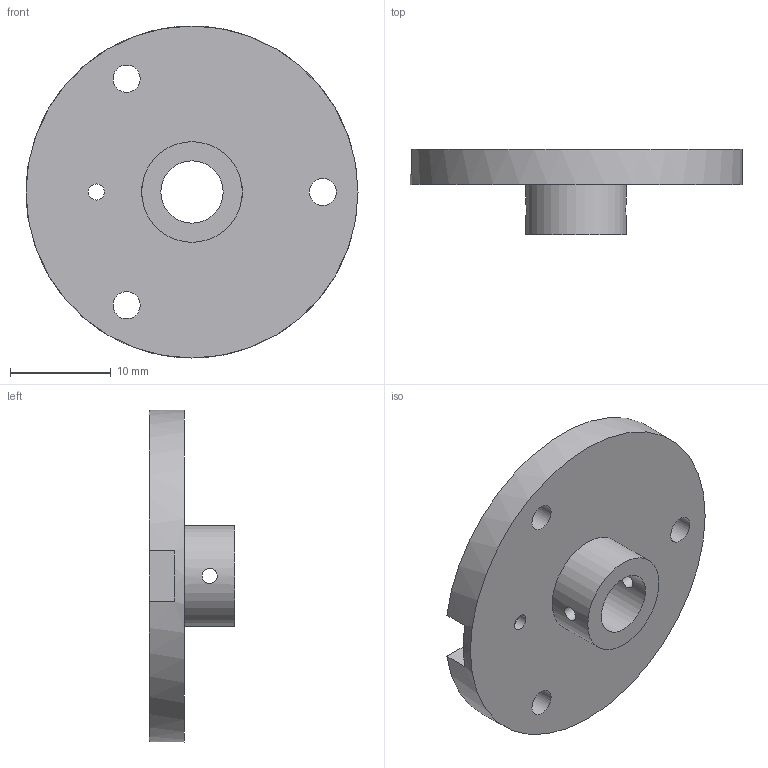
import cadquery as cq

flange_diameter = 33.0
flange_thickness = 3.5

hub_diameter = 10.0
hub_length = 5.0
bore_diameter = 6.2

mount_hole_count = 3
mount_hole_diameter = 2.7
mount_circle_radius = 13.0

small_hole_diameter = 1.6
small_hole_radius = 9.5

cross_hole_diameter = 1.5

pocket_width = 5.0
pocket_depth = 2.5
pocket_length = 10.0


def axial_cylinder(diameter, y_start, length, x=0.0):
    """Cylinder parallel to Y, running from y_start towards +Y."""
    base = cq.Workplane("XZ", origin=(x, y_start, 0))
    return base.circle(diameter / 2).extrude(-length)


def axial_hole(diameter, x=0.0):
    """Cutter that passes through the hub and flange at the given X."""
    return axial_cylinder(diameter, -hub_length, hub_length + flange_thickness, x)


def make_body():
    flange = axial_cylinder(flange_diameter, 0, flange_thickness)
    hub = axial_cylinder(hub_diameter, -hub_length, hub_length)
    return flange.union(hub)


def cut_mounting_holes(body):
    for index in range(mount_hole_count):
        angle = index * 360 / mount_hole_count
        hole = axial_hole(mount_hole_diameter, mount_circle_radius)
        body = body.cut(hole.rotate((0, 0, 0), (0, 1, 0), angle))
    return body


def cut_cross_hole(body):
    cutter = (
        cq.Workplane("YZ", origin=(0, -hub_length / 2, 0))
        .circle(cross_hole_diameter / 2)
        .extrude(hub_diameter, both=True)
    )
    return body.cut(cutter)


def cut_rim_pocket(body):
    cutter = cq.Workplane("XY").box(
        pocket_length, pocket_depth, pocket_width, centered=(False, False, True)
    )
    corner = (-flange_diameter / 2, flange_thickness - pocket_depth, 0)
    return body.cut(cutter.translate(corner))


result = make_body()
result = result.cut(axial_hole(bore_diameter))
result = cut_mounting_holes(result)
result = result.cut(axial_hole(small_hole_diameter, -small_hole_radius))
result = cut_cross_hole(result)
result = cut_rim_pocket(result)